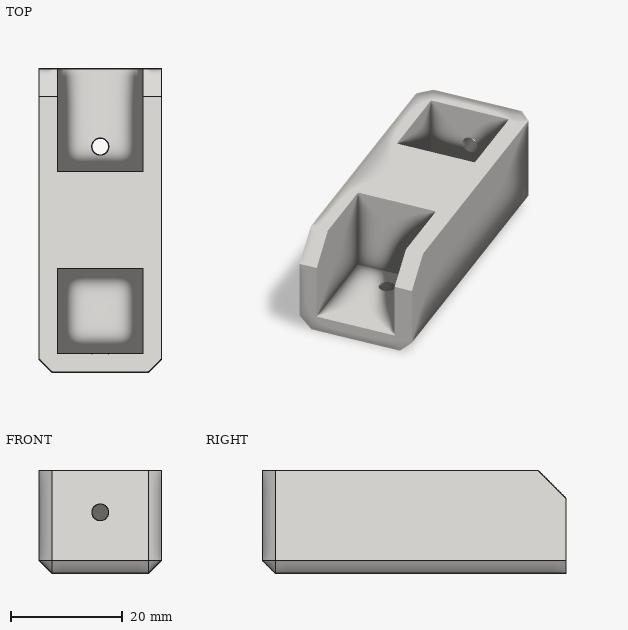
import cadquery as cq

width = 22.0
length = 54.5
height = 18.5

edge_chamfer = 2.35
rear_top_chamfer = 5.0

wall = 3.4
cavity_width = width - 2 * wall
floor_thickness = 3.0
cavity_depth = height - floor_thickness
rear_slot_length = 18.5

hole_diameter = 3.0
front_hole_below_top = 7.5
floor_hole_from_rear = 14.0


def make_body():
    """Block with bevelled front corners, bottom edges and rear top edge."""
    block = cq.Workplane("XY").box(width, length, height, centered=(True, False, False))
    block = block.edges("(|Z and <Y) or (<Z and (not >Y))").chamfer(edge_chamfer)
    return block.edges(">Y and >Z").chamfer(rear_top_chamfer)


def make_cavity(start_y, cavity_length):
    """Rectangular cavity that opens through the top."""
    return (
        cq.Workplane("XY")
        .box(cavity_width, cavity_length, cavity_depth, centered=(True, False, False))
        .translate((0, start_y, floor_thickness))
    )


def make_front_hole():
    """Hole through the front wall into the square pocket."""
    return (
        cq.Workplane("XZ")
        .center(0, height - front_hole_below_top)
        .circle(hole_diameter / 2)
        .extrude(-(wall + cavity_width / 2))
    )


def make_floor_hole():
    """Vertical hole through the floor of the rear slot."""
    return (
        cq.Workplane("XY")
        .center(0, length - floor_hole_from_rear)
        .circle(hole_diameter / 2)
        .extrude(height)
    )


result = (
    make_body()
    .cut(make_cavity(wall, cavity_width))
    .cut(make_cavity(length - rear_slot_length, rear_slot_length))
    .cut(make_front_hole())
    .cut(make_floor_hole())
)